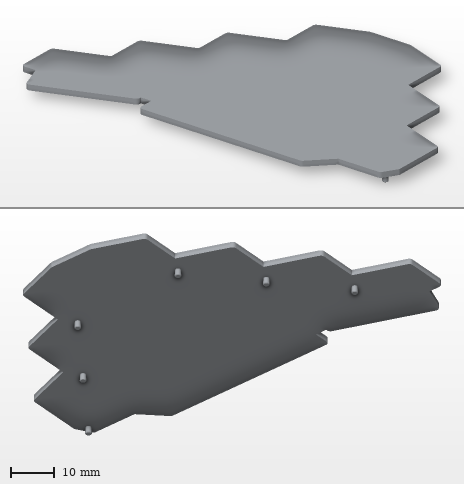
import cadquery as cq
import math

overall_width = 102.64
overall_depth = 69.8
overall_height = 3.3
plate_thickness = 1.5
tilt = math.radians(20)
slope = math.tan(tilt)
corner_radius = 1.0

left_step_count = 3
left_pitch_x = 13.46
left_pitch_y = 15.55
left_first_inner_y = 23.47
right_step_count = 2
right_pitch_x = 12.8
right_pitch_y = 17.48
right_first_inner_y = 34.96

arm_end_y = 7.05
arm_tip_x = 6.8
arm_tip_y = -corner_radius * (math.cos(tilt) + math.sin(tilt) - 1)
arm_shoulder_x = arm_tip_x - (arm_end_y - arm_tip_y) * slope

notch_left_x = 32.2
notch_right_x = 35.2
notch_top_y = 10.0
notch_arm_y = arm_tip_y + (notch_left_x - arm_tip_x) * slope

base_y = 5.25
foot_y = 11.3
foot_start_x = 88.1
base_end_x = foot_start_x - (foot_y - base_y)
foot_end_x = 100.15
right_side_bottom_y = 15.4

pin_root_radius = 0.68
pin_tip_radius = 0.78
pin_chamfer = 0.15
pin_length = overall_height - plate_thickness
left_pin_inset = 2.49
left_pin_drop = 4.06
right_pin_inset = 2.9
right_pin_drop = 3.68


def left_inner_corner(step):
    """Inner corner of a left step, counted from 0 at the lowest."""
    return (step + 1) * left_pitch_x, left_first_inner_y + step * left_pitch_y


def right_inner_corner(step):
    """Inner corner of a right step, counted from 0 at the lowest; -1 lies on the right edge."""
    return (
        overall_width - (step + 1) * right_pitch_x,
        right_first_inner_y + step * right_pitch_y,
    )


def left_outer_corner(step):
    """Convex corner where the slope of a left step starts."""
    x, y = left_inner_corner(step)
    return x - left_pitch_x, y - slope * left_pitch_x


def right_outer_corner(step):
    """Convex corner where the slope of a right step ends."""
    x, y = right_inner_corner(step)
    return x + right_pitch_x, y - slope * right_pitch_x


def point_on_top(outer_corner, direction):
    """Point where the slope rising from an outer corner meets the flat top edge."""
    x, y = outer_corner
    return x + direction * (overall_depth - y) / slope, overall_depth


def plate_outline():
    """Sharp-cornered outline, clockwise from the lower corner of the arm end."""
    points = [(0, arm_end_y)]
    for step in range(left_step_count):
        points += [left_outer_corner(step), left_inner_corner(step)]
    top_left = left_outer_corner(left_step_count)
    top_right = right_outer_corner(right_step_count)
    points += [top_left, point_on_top(top_left, 1), point_on_top(top_right, -1), top_right]
    for step in reversed(range(right_step_count)):
        points += [right_inner_corner(step), right_outer_corner(step)]
    points += [
        (overall_width, right_side_bottom_y),
        (foot_end_x, foot_y),
        (foot_start_x, foot_y),
        (base_end_x, base_y),
        (notch_right_x, base_y),
        (notch_right_x, notch_top_y),
        (notch_left_x, notch_top_y),
        (notch_left_x, notch_arm_y),
        (arm_tip_x, arm_tip_y),
        (arm_shoulder_x, arm_end_y),
    ]
    return points


def round_corners(plate, corners):
    """Round the upright edge of the plate at each of the given corners."""
    for x, y in corners:
        edge = cq.selectors.NearestToPointSelector((x, y, plate_thickness / 2))
        plate = plate.edges("|Z").edges(edge).fillet(corner_radius)
    return plate


def make_plate():
    plate = cq.Workplane("XY").polyline(plate_outline()).close().extrude(plate_thickness)
    corners = [left_outer_corner(step) for step in range(left_step_count + 1)]
    corners += [right_outer_corner(step) for step in range(right_step_count + 1)]
    corners += [
        (foot_end_x, foot_y),
        (base_end_x, base_y),
        (notch_right_x, base_y),
        (notch_left_x, notch_arm_y),
        (arm_tip_x, arm_tip_y),
        (0, arm_end_y),
    ]
    return round_corners(plate, corners)


def pin_centers():
    """One pin below each left step, and one below each right step and the right edge."""
    left = [left_inner_corner(step) for step in range(left_step_count)]
    right = [right_inner_corner(step) for step in range(-1, right_step_count)]
    centers = [(x + left_pin_inset, y - left_pin_drop) for x, y in left]
    centers += [(x - right_pin_inset, y - right_pin_drop) for x, y in right]
    return centers


def make_pin():
    """Pin that widens from its root at the plate to a chamfered tip."""
    profile = [
        (0, 0),
        (pin_root_radius, 0),
        (pin_tip_radius, -pin_length + pin_chamfer),
        (pin_tip_radius - pin_chamfer, -pin_length),
        (0, -pin_length),
    ]
    return cq.Workplane("XZ").polyline(profile).close().revolve(360, (0, 0), (0, 1))


result = make_plate()
for pin_x, pin_y in pin_centers():
    result = result.union(make_pin().translate((pin_x, pin_y, 0)))